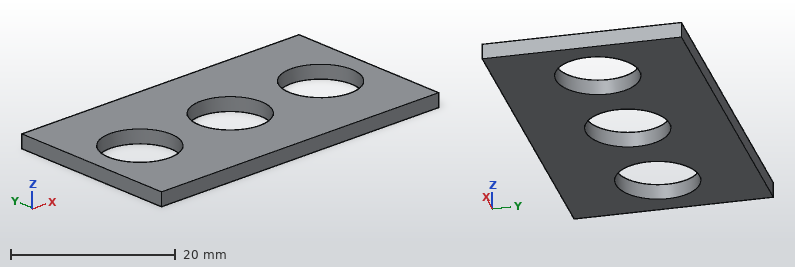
import cadquery as cq

length = 46.0
width = 25.0
thickness = 2.0

hole_diameter = 10.5
hole_pitch = 15.0
hole_count = 3

plate = cq.Workplane("XY").box(length, width, thickness)

result = (
    plate.faces(">Z")
    .workplane()
    .rarray(hole_pitch, 0.45, hole_count, 1)
    .hole(hole_diameter)
)